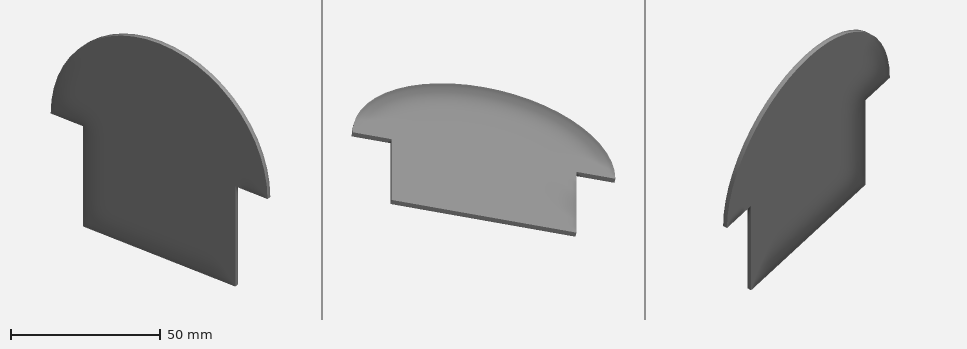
import cadquery as cq

head_radius = 45.0
stem_width = 63.3
stem_height = 40.0
thickness = 1.6

half_stem = stem_width / 2

outline = (
    cq.Workplane("XZ")
    .moveTo(-head_radius, 0)
    .threePointArc((0, head_radius), (head_radius, 0))
    .lineTo(half_stem, 0)
    .lineTo(half_stem, -stem_height)
    .lineTo(-half_stem, -stem_height)
    .lineTo(-half_stem, 0)
    .close()
)

result = outline.extrude(thickness / 2, both=True)